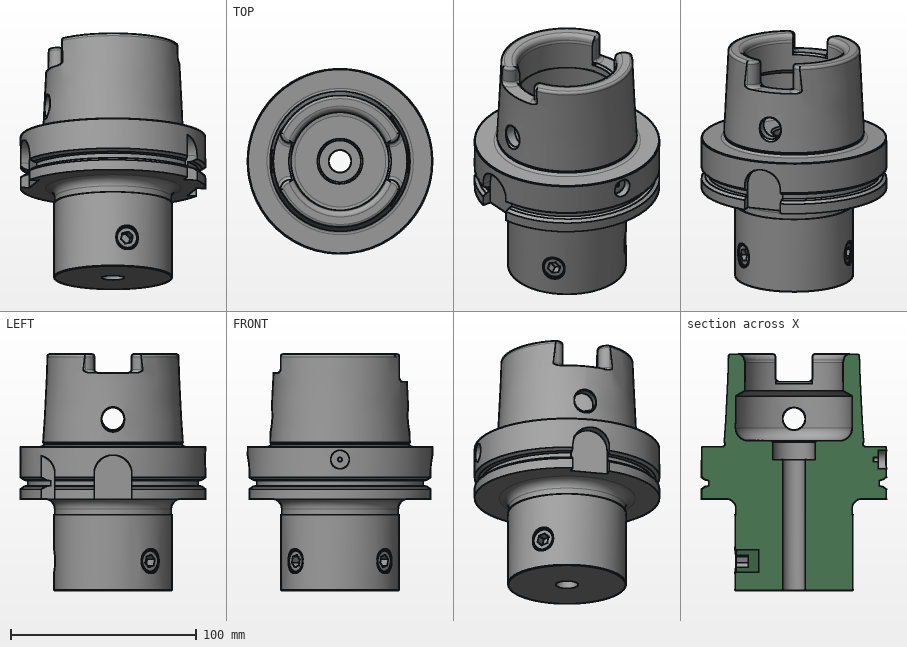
import cadquery as cq
import math

total_height = 127.9

hub_radius = 32.0
hub_top = 40.9
hub_edge_chamfer = 0.4
neck_radius = 31.6
neck_fillet = 5.1

flange_radius = 50.0
flange_bottom = 49.5
flange_top = 77.9
flange_edge_chamfer = 0.4
groove_radius = 46.2
groove_ledge_radius = 48.1
groove_bottom = 56.8
groove_top = 59.3
groove_ledge_height = 0.5
groove_flank_height = 1.4

taper_base_radius = 37.9
taper_base = 80.2
taper_slope = 1 / 20
relief_radius = 37.3
relief_flare = 2.2
relief_height = 1.0
relief_step = 0.5
relief_arc_share = 0.3
rim_edge_fillet = 1.5
rim_inner_fillet = 3.1

bore_radius = 26.5
lead_in_width = 0.4
lead_in_height = 1.4
bore_bottom = 108.0
undercut_radius = 31.5
undercut_angle = 30.0
undercut_bottom = 88.0
floor_radius = 24.5
coolant_seat_radius = 12.3
coolant_seat_depth = 10.2
coolant_seat_chamfer = 1.0
coolant_hole_radius = 6.0

rim_slot_half_width = 10.0
rim_slot_flare_x = 32.1
rim_slot_flare_half_width = 20.5
rim_slot_corner_radius = 5.1
rim_slot_floor_fillet = 2.0
rim_slot_edge_chamfer = 1.2
left_slot_floor = 117.7
right_slot_floor = 112.9
rim_slots = ((-1, left_slot_floor), (1, right_slot_floor))

cross_hole_radius = 6.0
cross_hole_height = 92.9
cross_hole_chamfer = 0.8

notch_half_width = 10.2
notch_arc_height = 63.0
key_notch_floor = 44.0
side_notch_floor = 31.7
side_notch_offset = 41.6
chip_hole_radius = 5.0
chip_hole_height = 70.9
chip_hole_depth = 4.5
pilot_hole_radius = 1.2
pilot_hole_depth = 2.5

screw_angles = [90.0, 220.0, 320.0]
screw_radius = 6.0
screw_height = 16.0
screw_face = 31.2
screw_length = 12.0
screw_chamfer = 0.5
screw_hole_rim_radius = 6.7
socket_width = 6.0
socket_depth = 6.4
socket_rotation = 15.0

diagonal = math.sqrt(0.5)
arc_inset = 1 - diagonal


def taper_radius(z):
    return taper_base_radius - (z - taper_base) * taper_slope


def half_turn(shape):
    return shape.rotate((0, 0, 0), (0, 0, 1), 180)


def around_axis(shape, angle):
    return shape.rotate((0, 0, 0), (0, 0, 1), angle)


def body_of_revolution():
    """Hub, flange and taper as one solid of revolution."""
    neck_middle = neck_fillet * arc_inset
    lower_ledge = groove_bottom - groove_ledge_height
    upper_ledge = groove_top + groove_ledge_height
    rounding_middle = rim_edge_fillet * arc_inset
    rounding_start = total_height - rim_edge_fillet
    rim_radius = taper_radius(rounding_start)
    profile = (
        cq.Workplane("XZ")
        .moveTo(0, 0)
        .lineTo(hub_radius - hub_edge_chamfer, 0)
        .lineTo(hub_radius, hub_edge_chamfer)
        .lineTo(hub_radius, hub_top)
        .lineTo(neck_radius, hub_top)
        .lineTo(neck_radius, flange_bottom - neck_fillet)
        .threePointArc(
            (neck_radius + neck_middle, flange_bottom - neck_middle),
            (neck_radius + neck_fillet, flange_bottom),
        )
        .lineTo(flange_radius, flange_bottom)
        .lineTo(flange_radius, lower_ledge - groove_flank_height)
        .lineTo(groove_ledge_radius, lower_ledge)
        .lineTo(groove_radius, groove_bottom)
        .lineTo(groove_radius, groove_top)
        .lineTo(groove_ledge_radius, upper_ledge)
        .lineTo(flange_radius, upper_ledge + groove_flank_height)
        .lineTo(flange_radius, flange_top - flange_edge_chamfer)
        .lineTo(flange_radius - flange_edge_chamfer, flange_top)
        .lineTo(relief_radius + relief_flare, flange_top)
        .threePointArc(
            (
                relief_radius + relief_arc_share * relief_flare,
                flange_top + relief_arc_share * relief_height,
            ),
            (relief_radius, flange_top + relief_height),
        )
        .lineTo(relief_radius, taper_base - relief_step)
        .lineTo(taper_base_radius, taper_base)
        .lineTo(rim_radius, rounding_start)
        .threePointArc(
            (rim_radius - rounding_middle, total_height - rounding_middle),
            (rim_radius - rim_edge_fillet, total_height),
        )
        .lineTo(0, total_height)
        .close()
    )
    return profile.revolve(360, (0, 0, 0), (0, 1, 0))


def clamping_bore():
    """Stepped bore from the rim down to the coolant hole."""
    rim_middle = rim_inner_fillet * arc_inset
    lead_in_radius = bore_radius + lead_in_width
    lead_in_top = total_height - rim_inner_fillet
    undercut_drop = (undercut_radius - bore_radius) * math.tan(math.radians(undercut_angle))
    undercut_top = bore_bottom - undercut_drop
    floor_fillet = undercut_radius - floor_radius
    floor_height = undercut_bottom - floor_fillet
    seat_bottom = floor_height - coolant_seat_depth
    seat_wall = coolant_seat_radius - coolant_seat_chamfer
    profile = (
        cq.Workplane("XZ")
        .moveTo(0, 0)
        .lineTo(coolant_hole_radius, 0)
        .lineTo(coolant_hole_radius, seat_bottom)
        .lineTo(seat_wall, seat_bottom)
        .lineTo(seat_wall, floor_height - coolant_seat_chamfer)
        .lineTo(coolant_seat_radius, floor_height)
        .lineTo(floor_radius, floor_height)
        .threePointArc(
            (floor_radius + floor_fillet * diagonal, undercut_bottom - floor_fillet * diagonal),
            (undercut_radius, undercut_bottom),
        )
        .lineTo(undercut_radius, undercut_top)
        .lineTo(bore_radius, bore_bottom)
        .lineTo(bore_radius, lead_in_top - lead_in_height)
        .lineTo(lead_in_radius, lead_in_top)
        .threePointArc(
            (lead_in_radius + rim_middle, total_height - rim_middle),
            (lead_in_radius + rim_inner_fillet, total_height),
        )
        .lineTo(0, total_height)
        .close()
    )
    return profile.revolve(360, (0, 0, 0), (0, 1, 0))


def rim_slot(side, floor):
    """Slot in the rim towards side * X, flaring around rounded corners."""
    inner_x = floor_radius / 2
    outer_x = flange_radius - 2 * rim_edge_fillet
    corner_x = rim_slot_flare_x - rim_slot_corner_radius
    corner_y = rim_slot_half_width + rim_slot_corner_radius
    arc_x = corner_x + rim_slot_corner_radius * diagonal
    arc_y = corner_y - rim_slot_corner_radius * diagonal
    outline = (
        cq.Workplane("XY", origin=(0, 0, floor))
        .moveTo(side * inner_x, -rim_slot_half_width)
        .lineTo(side * corner_x, -rim_slot_half_width)
        .threePointArc((side * arc_x, -arc_y), (side * rim_slot_flare_x, -corner_y))
        .lineTo(side * rim_slot_flare_x, -rim_slot_flare_half_width)
        .lineTo(side * outer_x, -rim_slot_flare_half_width)
        .lineTo(side * outer_x, rim_slot_flare_half_width)
        .lineTo(side * rim_slot_flare_x, rim_slot_flare_half_width)
        .lineTo(side * rim_slot_flare_x, corner_y)
        .threePointArc((side * arc_x, arc_y), (side * corner_x, rim_slot_half_width))
        .lineTo(side * inner_x, rim_slot_half_width)
        .close()
    )
    slot = outline.extrude(total_height)
    return slot.faces("<Z").edges().fillet(rim_slot_floor_fillet)


def slotted_block():
    """Block around the holder with both rim slots sunk into it and their top edges rounded."""
    block = cq.Workplane("XY").box(
        2 * flange_radius, 2 * flange_radius, total_height, centered=(True, True, False)
    )
    for side, floor in rim_slots:
        block = block.cut(rim_slot(side, floor))
    reach = flange_radius - rim_edge_fillet
    slot_edges = cq.selectors.BoxSelector((-reach, -reach, 0), (reach, reach, 2 * total_height))
    return block.faces(">Z").edges(slot_edges).fillet(rim_edge_fillet)


def slot_edge_chamfer(side, floor):
    """Bevel along the bore edge of a rim slot floor."""
    cone = cq.Workplane("XY").add(
        cq.Solid.makeCone(
            bore_radius,
            bore_radius + rim_slot_edge_chamfer,
            rim_slot_edge_chamfer,
            pnt=cq.Vector(0, 0, floor - rim_slot_edge_chamfer),
        )
    )
    reach = cq.Workplane("XY").box(
        flange_radius, 2 * rim_slot_half_width, total_height, centered=(False, True, False)
    )
    if side < 0:
        reach = half_turn(reach)
    return cone.intersect(reach)


def round_topped_notch(floor, offset):
    """Notch beyond X = floor, centred on Y = offset, open at the bottom and round on top."""
    depth = flange_radius
    arch = (
        cq.Workplane("YZ", origin=(floor, 0, 0))
        .center(offset, notch_arc_height)
        .circle(notch_half_width)
        .extrude(depth)
    )
    below = cq.Workplane("XY").box(
        depth, 2 * notch_half_width, notch_arc_height - flange_bottom, centered=(False, True, False)
    )
    return arch.union(below.translate((floor, offset, flange_bottom)))


def cross_hole():
    """Hole along X through both walls of the shank, bevelled at each mouth."""
    wall = taper_radius(cross_hole_height)
    drill = (
        cq.Workplane("YZ", origin=(-flange_radius, 0, cross_hole_height))
        .circle(cross_hole_radius)
        .extrude(2 * flange_radius)
    )
    mouth = (
        cq.Workplane("YZ", origin=(wall - cross_hole_chamfer, 0, cross_hole_height))
        .circle(cross_hole_radius)
        .workplane(offset=2 * cross_hole_chamfer)
        .circle(cross_hole_radius + 2 * cross_hole_chamfer)
        .loft()
    )
    return drill.union(mouth).union(half_turn(mouth))


def chip_hole():
    """Data chip seat on the -Y side of the flange with a pilot hole in its floor."""
    seat_floor = flange_radius - chip_hole_depth
    seat = (
        cq.Workplane("XZ", origin=(0, -seat_floor, chip_hole_height))
        .circle(chip_hole_radius)
        .extrude(2 * chip_hole_depth)
    )
    pilot = (
        cq.Workplane("XZ", origin=(0, -seat_floor, chip_hole_height))
        .circle(pilot_hole_radius)
        .extrude(-pilot_hole_depth)
    )
    return seat.union(pilot)


def screw_hole():
    """Hole for a set screw on the +X side, with a countersunk mouth."""
    bottom = screw_face - screw_length
    countersink = screw_hole_rim_radius - screw_radius
    profile = (
        cq.Workplane("XY")
        .moveTo(bottom, 0)
        .lineTo(bottom, screw_radius)
        .lineTo(screw_face, screw_radius)
        .lineTo(screw_face + countersink, screw_hole_rim_radius)
        .lineTo(flange_radius, screw_hole_rim_radius)
        .lineTo(flange_radius, 0)
        .close()
    )
    return profile.revolve(360, (0, 0, 0), (1, 0, 0)).translate((0, 0, screw_height))


def make_set_screw():
    """Set screw along +X with a chamfered face and a hexagon socket."""
    shank = (
        cq.Workplane("YZ", origin=(screw_face - screw_length, 0, 0))
        .circle(screw_radius)
        .extrude(screw_length)
        .faces(">X")
        .chamfer(screw_chamfer)
    )
    socket_corner_width = socket_width / math.cos(math.pi / 6)
    socket = (
        cq.Workplane("YZ", origin=(screw_face - socket_depth, 0, 0))
        .transformed(rotate=(0, 0, socket_rotation))
        .polygon(6, socket_corner_width)
        .extrude(2 * socket_depth)
    )
    return shank.cut(socket).translate((0, 0, screw_height))


def make_holder():
    """Tool holder with all its slots, notches and holes."""
    body = body_of_revolution().intersect(slotted_block())
    body = body.cut(clamping_bore())
    for side, floor in rim_slots:
        body = body.cut(slot_edge_chamfer(side, floor))
    key_notch = round_topped_notch(key_notch_floor, 0)
    side_notch = half_turn(round_topped_notch(side_notch_floor, -side_notch_offset))
    body = body.cut(key_notch).cut(half_turn(key_notch)).cut(side_notch)
    body = body.cut(cross_hole()).cut(chip_hole())
    for angle in screw_angles:
        body = body.cut(around_axis(screw_hole(), angle))
    return body


holder = make_holder()
set_screws = [around_axis(make_set_screw(), angle) for angle in screw_angles]

result = cq.Compound.makeCompound([holder.val(), *[screw.val() for screw in set_screws]])